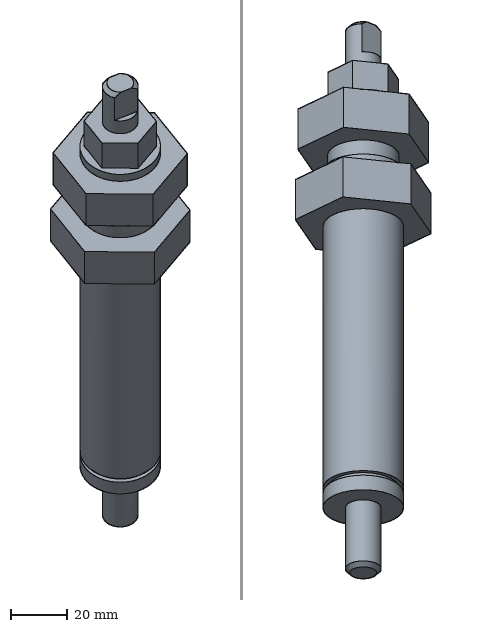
import cadquery as cq
import math

overall_length = 215.9
lower_collar_bottom = 25.8
lower_groove_bottom = 31.6
lower_groove_top = 33.4
mounting_nut_bottom = 137.1
neck_bottom = 158.75
collar_hex_bottom = 165.1
barrel_top = 184.4
head_top = 196.85

barrel_diameter = 28.575
neck_diameter = 25.4
collar_hex_across_flats = 41.275
head_across_flats = 22.225

mounting_nut_across_flats = 42.8625
hex_thickness = 15.875

rod_diameter = 12.7
tip_chamfer = 1.6
flats_length = 12.7
flats_width = 8.6


def cylinder(diameter, bottom, top):
    """Round bar on the Z axis between two heights."""
    return cq.Workplane("XY").workplane(offset=bottom).circle(diameter / 2).extrude(top - bottom)


def hex_prism(across_flats, bottom, top):
    """Hexagonal bar on the Z axis with two corners pointing along X."""
    across_corners = across_flats / math.cos(math.pi / 6)
    return cq.Workplane("XY").workplane(offset=bottom).polygon(6, across_corners).extrude(top - bottom)


def make_piston_rod():
    """Through rod with chamfered tips and two wrench flats, facing +X and -X, at the upper tip."""
    rod = cylinder(rod_diameter, 0, overall_length).faces("<Z or >Z").chamfer(tip_chamfer)
    flats_bottom = overall_length - flats_length
    tongue = (
        cq.Workplane("XY")
        .workplane(offset=flats_bottom)
        .rect(flats_width, rod_diameter)
        .extrude(flats_length)
    )
    beside_tongue = cylinder(rod_diameter, flats_bottom, overall_length).cut(tongue)
    return rod.cut(beside_tongue)


def make_housing():
    """Grooved barrel with a hexagonal collar and a hexagonal head, bored through for the rod."""
    barrel = cylinder(barrel_diameter, lower_collar_bottom, lower_groove_bottom)
    barrel = barrel.union(cylinder(neck_diameter, lower_groove_bottom, lower_groove_top))
    barrel = barrel.union(cylinder(barrel_diameter, lower_groove_top, neck_bottom))
    barrel = barrel.union(cylinder(neck_diameter, neck_bottom, collar_hex_bottom))

    collar_hex_top = collar_hex_bottom + hex_thickness
    collar_hex = hex_prism(collar_hex_across_flats, collar_hex_bottom, collar_hex_top)
    upper_collar = cylinder(barrel_diameter, collar_hex_top, barrel_top)
    head = hex_prism(head_across_flats, barrel_top, head_top)

    rod_bore = cylinder(rod_diameter, lower_collar_bottom, head_top)
    return barrel.union(collar_hex).union(upper_collar).union(head).cut(rod_bore)


def make_mounting_nut():
    """Plain hexagonal nut bored to fit the barrel."""
    nut_top = mounting_nut_bottom + hex_thickness
    nut = hex_prism(mounting_nut_across_flats, mounting_nut_bottom, nut_top)
    return nut.cut(cylinder(barrel_diameter, mounting_nut_bottom, nut_top))


piston_rod = make_piston_rod().solids()
housing = make_housing().solids()
mounting_nut = make_mounting_nut().solids()

result = cq.Compound.makeCompound([piston_rod.val(), housing.val(), mounting_nut.val()])